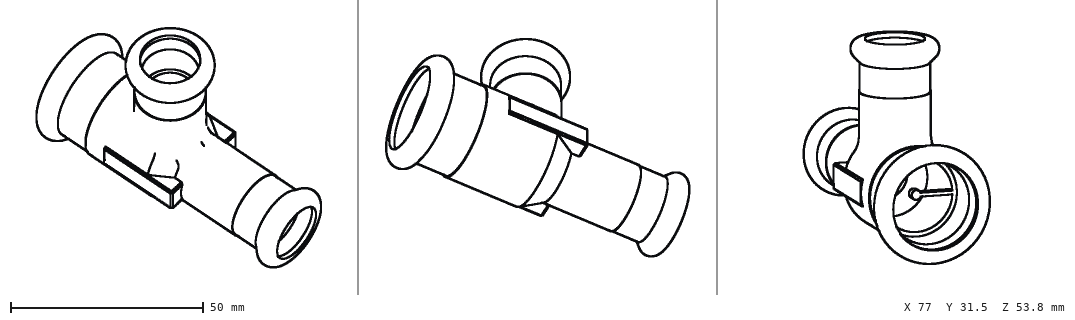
import cadquery as cq
import math

length = 77.0
branch_x = 33.95
branch_top = 38.0

wide_radius = 13.0
narrow_radius = 9.4
wide_bore = 9.85
narrow_bore = 6.4
wide_stop = 16.0
narrow_stop = 14.0
branch_stop_z = branch_top - narrow_stop
taper_start = 36.9
taper_end = 42.9
blend_radius = 5.8

pad_start = 22.55
pad_end = 45.6
pad_height = 7.15
pad_width = 26.25
pad_chamfer = 0.5

pin_length = 2.3
wide_pin_radius = 1.3
wide_rib = 1.0
branch_pin_radius = 1.0
branch_rib = 0.8
rib_embed = 0.4

WIDE = dict(bead=31.5 / 2, bead_center=12.7, sleeve=12.7, bead_end=6.4, groove_arc=1.55,
            lip=11.6, pipe=11.1, groove_end=5.8, stop=wide_stop)
NARROW = dict(bead=23.25 / 2, bead_center=9.0, sleeve=9.25, bead_end=6.15, groove_arc=1.2,
              lip=7.85, pipe=7.5, groove_end=5.5, stop=narrow_stop)


def arc_to_tangent(center, arc_radius, end):
    """Middle and end of an arc about center, stopping where a straight line to `end` is tangent."""
    along = end[0] - center[0]
    outward = end[1] - center[1]
    angle = math.atan2(outward, along) + math.acos(arc_radius / math.hypot(along, outward))
    middle_angle = (angle + math.pi) / 2

    def on_arc(a):
        return (center[0] + arc_radius * math.cos(a), center[1] + arc_radius * math.sin(a))

    return on_arc(middle_angle), on_arc(angle)


def revolve(profile):
    """Turn an (axial, radial) profile about the X axis."""
    return profile.close().revolve(360, (0, 0, 0), (1, 0, 0))


def socket_outside(s):
    """Rolled bead and sleeve, with the mouth at X = 0 and the pipe entering along +X."""
    bead_arc = s["bead"] - s["bead_center"]
    sleeve_start = (s["bead_end"], s["sleeve"])
    middle, tangent = arc_to_tangent((bead_arc, s["bead_center"]), bead_arc, sleeve_start)
    return revolve(
        cq.Workplane("XY").lineTo(0, s["bead_center"])
        .threePointArc(middle, tangent).lineTo(*sleeve_start)
        .lineTo(s["stop"], s["sleeve"]).lineTo(s["stop"], 0)
    )


def socket_inside(s):
    """Mouth, seal groove inside the bead, and pipe seat down to the stop."""
    center_depth = s["bead"] - s["bead_center"]
    lip_depth = center_depth - s["groove_arc"]
    seat_start = (s["groove_end"], s["pipe"])
    middle, tangent = arc_to_tangent((center_depth, s["bead_center"]), s["groove_arc"], seat_start)
    return revolve(
        cq.Workplane("XY").lineTo(0, s["lip"]).lineTo(lip_depth, s["lip"])
        .lineTo(lip_depth, s["bead_center"]).threePointArc(middle, tangent).lineTo(*seat_start)
        .lineTo(s["stop"], s["pipe"]).lineTo(s["stop"], 0)
    )


def at_narrow_end(shape):
    """Move a socket to the +X end, opening toward +X."""
    return shape.rotate((0, 0, 0), (0, 0, 1), 180).translate((length, 0, 0))


def at_branch_end(shape):
    """Move a socket to the top of the branch, opening upward."""
    return shape.rotate((0, 0, 0), (0, 1, 0), 90).translate((branch_x, 0, branch_top))


def stepped_run(wide, narrow):
    """Round run between the two stops, tapering from the wide to the narrow radius."""
    end = length - narrow_stop
    return revolve(
        cq.Workplane("XY").moveTo(wide_stop, 0).lineTo(wide_stop, wide).lineTo(taper_start, wide)
        .lineTo(taper_end, narrow).lineTo(end, narrow).lineTo(end, 0)
    )


def branch_run(radius):
    """Round upright run from the axis to the branch stop."""
    return cq.Workplane("XY").center(branch_x, 0).circle(radius).extrude(branch_stop_z)


def blended_body():
    """Run and branch joined with a round blend along their meeting line."""
    joined = stepped_run(wide_radius, narrow_radius).union(branch_run(narrow_radius))
    meeting_line = "%BSPLINE or %ELLIPSE"
    return joined.edges(meeting_line).fillet(blend_radius)


def side_pads():
    """One bar across the body that shows as a flat pad on each side, with a sharp -X end."""
    bar = cq.Workplane("XY").box(pad_end - pad_start, pad_width, pad_height)
    bar = bar.edges("not <X").chamfer(pad_chamfer)
    return bar.translate(((pad_start + pad_end) / 2, 0, 0))


def keyed_pin(s, bore, pin_radius, rib_width):
    """Round pin on the socket axis, held by a rib from the bore wall on the -Y side."""
    stop_plane = cq.Workplane("YZ", origin=(s["stop"], 0, 0))
    pin = stop_plane.circle(pin_radius).extrude(pin_length)
    rib_length = bore + rib_embed
    rib = stop_plane.center(-rib_length / 2, 0).rect(rib_length, rib_width).extrude(pin_length)
    return pin.union(rib)


body = blended_body().union(side_pads())
body = body.union(socket_outside(WIDE))
body = body.union(at_narrow_end(socket_outside(NARROW)))
body = body.union(at_branch_end(socket_outside(NARROW)))

body = body.cut(stepped_run(wide_bore, narrow_bore)).cut(branch_run(narrow_bore))
body = body.cut(socket_inside(WIDE))
body = body.cut(at_narrow_end(socket_inside(NARROW)))
body = body.cut(at_branch_end(socket_inside(NARROW)))

wide_pin = keyed_pin(WIDE, wide_bore, wide_pin_radius, wide_rib)
branch_pin = keyed_pin(NARROW, narrow_bore, branch_pin_radius, branch_rib)
branch_pin = at_branch_end(branch_pin.rotate((0, 0, 0), (1, 0, 0), -90))

result = body.union(wide_pin).union(branch_pin)